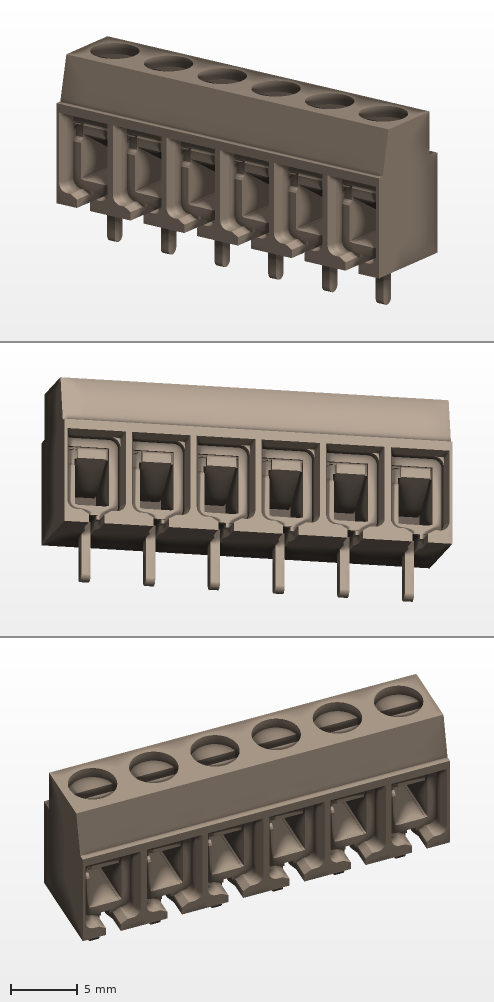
import cadquery as cq
import math

row_length = 30.0
pole_count = 6
pitch = row_length / pole_count

depth = 7.5
shoulder_height = 7.95
top_height = 11.5
back_step = 1.0
front_step = 0.48
top_front_setback = 1.25

axis_y = 4.02
screw_diameter = 3.72
screw_recess = 0.87
drive_slot_width = 0.8
drive_slot_depth = 0.9
pin_length = 3.6
pin_thickness = 0.72
pin_width = 1.0

recess_depth = 1.5
mouth_depth = 0.75
mouth_width = 4.53
pocket_width = 4.02
recess_bottom = 1.0
mouth_top = 7.23
pocket_top = 6.9
corner_radius = 0.72

chamber_width = 2.6
chamber_bottom = 1.7
chamber_top = 6.25
chamber_back = 5.7
ledge_width = 0.18
ledge_height = 0.045

leaf_width = 2.22
leaf_bevel = 0.18
leaf_tab_bottom = 5.37
leaf_low = 3.65
leaf_tip_bottom = 3.33
leaf_tip_length = 1.05
leaf_back = 5.4

collar_setback = 0.3
collar_rear_bottom = 4.98

relief_bottom = 4.62
relief_top = 6.05
relief_slope_height = 0.35
relief_radius = 0.63
band_depth = 0.25

slot_width = 1.2
slot_ceiling = 0.65
groove_width = 2.35
groove_depth = 1.55
slot_taper_length = 0.75


def box(x0, x1, y0, y1, z0, z1):
    return cq.Workplane("XY").box(x1 - x0, y1 - y0, z1 - z0, centered=False).translate((x0, y0, z0))


def prism(profile, plane, length):
    return cq.Workplane(plane).polyline(profile).close().extrude(length)


def across(profile, width):
    """Extrude a closed (y, z) profile symmetrically about X = 0."""
    return cq.Workplane("YZ").polyline(profile).close().extrude(width / 2, both=True)


def housing_block():
    return across(
        [
            (0, 0),
            (depth, 0),
            (depth, shoulder_height),
            (depth - back_step, shoulder_height),
            (depth - back_step, top_height),
            (top_front_setback, top_height),
            (front_step, shoulder_height),
            (0, shoulder_height),
        ],
        pitch,
    )


def mouth_outline(wp, width, top):
    """Rectangle with its two lower corners rounded."""
    half = width / 2
    arc_mid = corner_radius * (1 - math.sqrt(0.5))
    return (
        wp.moveTo(-half, top)
        .lineTo(-half, recess_bottom + corner_radius)
        .threePointArc((-half + arc_mid, recess_bottom + arc_mid), (-half + corner_radius, recess_bottom))
        .lineTo(half - corner_radius, recess_bottom)
        .threePointArc((half - arc_mid, recess_bottom + arc_mid), (half, recess_bottom + corner_radius))
        .lineTo(half, top)
        .close()
    )


def entry_recess():
    mouth = mouth_outline(cq.Workplane("XZ"), mouth_width, mouth_top)
    mouth = mouth_outline(mouth.workplane(offset=-mouth_depth), pocket_width, pocket_top).loft(ruled=True)
    half = pocket_width / 2
    pocket = box(-half, half, mouth_depth, recess_depth, recess_bottom, pocket_top)
    pocket = pocket.edges("|Y and (<Z or >X)").fillet(corner_radius)
    return mouth.union(pocket)


def wire_chamber():
    """Rectangular chamber with a low ledge along each side of its floor."""
    half = chamber_width / 2
    inner = half - ledge_width
    opening = box(-half, half, recess_depth, chamber_back, chamber_bottom, chamber_top)
    for x0, x1 in ((-half, -inner), (inner, half)):
        ledge = box(x0, x1, recess_depth, chamber_back, chamber_bottom, chamber_bottom + ledge_height)
        opening = opening.cut(ledge)
    return opening


def side_relief():
    """Shallow pocket with a two-slope floor, below a band across the chamber top."""
    y0 = recess_depth
    y1 = recess_depth + collar_setback
    x0 = -pocket_width / 2
    block = box(x0, -chamber_width / 2, y0, y1, relief_bottom, relief_top)
    block = block.edges("|Y and >Z and <X").fillet(relief_radius)
    ramp = across(
        [
            (y0, relief_bottom),
            (y1, relief_bottom),
            (y1, relief_bottom + relief_slope_height),
            (y0 + collar_setback / 3, relief_bottom + relief_slope_height / 2),
        ],
        pitch,
    )
    band = box(x0, chamber_width / 2, y0, y0 + band_depth, relief_top, chamber_top)
    return block.cut(ramp).union(band)


def collar():
    front = recess_depth + collar_setback
    return across(
        [
            (recess_depth + band_depth, chamber_top),
            (recess_depth + band_depth, relief_top),
            (front, relief_top),
            (front, leaf_tab_bottom),
            (chamber_back, collar_rear_bottom),
            (chamber_back, chamber_top),
        ],
        chamber_width,
    )


def clamp_leaf():
    """Upright tab at the front, then an underside falling backwards to a curved tip."""
    tip_start = leaf_back - leaf_tip_length
    tip_middle = (leaf_back - leaf_tip_length / 2, leaf_tip_bottom + (leaf_low - leaf_tip_bottom) / 4)
    return (
        cq.Workplane("YZ")
        .moveTo(recess_depth + leaf_bevel, chamber_top)
        .lineTo(recess_depth, chamber_top - leaf_bevel)
        .lineTo(recess_depth, leaf_tab_bottom)
        .lineTo(tip_start, leaf_low)
        .threePointArc(tip_middle, (leaf_back, leaf_tip_bottom))
        .lineTo(leaf_back, chamber_top)
        .close()
        .extrude(leaf_width / 2, both=True)
    )


def bottom_slot():
    """Slot from the entry face back to the pin, under a shallow trapezoidal groove."""
    front_half = slot_width / 2
    pin_half = pin_thickness / 2
    pin_front = axis_y - pin_width / 2
    taper_end = groove_depth + slot_taper_length
    straight = box(-front_half, front_half, 0, groove_depth, 0, slot_ceiling)
    taper = prism(
        [
            (-front_half, groove_depth),
            (front_half, groove_depth),
            (pin_half, taper_end),
            (-pin_half, taper_end),
        ],
        "XY",
        slot_ceiling,
    )
    groove = prism(
        [
            (-groove_width / 2, recess_bottom),
            (-front_half, slot_ceiling),
            (front_half, slot_ceiling),
            (groove_width / 2, recess_bottom),
        ],
        "XZ",
        -groove_depth,
    )
    pin_passage = box(-pin_half, pin_half, 0, pin_front, 0, recess_bottom)
    return straight.union(taper).union(groove).union(pin_passage)


def screw_recess_cut():
    """Bore down to the screw head, with the drive slot cut deeper into the head."""
    recess_floor = top_height - screw_recess
    bore = (
        cq.Workplane("XY", origin=(0, axis_y, recess_floor - drive_slot_depth))
        .circle(screw_diameter / 2)
        .extrude(screw_recess + drive_slot_depth)
    )
    lands = box(-pitch, pitch, 0, depth, 0, recess_floor)
    half = drive_slot_width / 2
    lands = lands.cut(box(-pitch, pitch, axis_y - half, axis_y + half, 0, recess_floor))
    return bore.cut(lands)


def solder_pin():
    half = pin_width / 2
    tip_center = half - pin_length
    return (
        cq.Workplane("YZ", origin=(0, axis_y, 0))
        .moveTo(-half, 0)
        .lineTo(-half, tip_center)
        .threePointArc((0, -pin_length), (half, tip_center))
        .lineTo(half, 0)
        .close()
        .extrude(pin_thickness / 2, both=True)
    )


def terminal_pole():
    """One pole: housing, collar, clamp leaf, screw head and solder pin as a single solid."""
    pole = housing_block()
    for cutter in (entry_recess(), wire_chamber(), side_relief(), bottom_slot(), screw_recess_cut()):
        pole = pole.cut(cutter)
    return pole.union(collar()).union(clamp_leaf()).union(solder_pin())


poles = [terminal_pole().translate(((i + 0.5) * pitch, 0, 0)) for i in range(pole_count)]

result = cq.Compound.makeCompound([pole.val() for pole in poles])